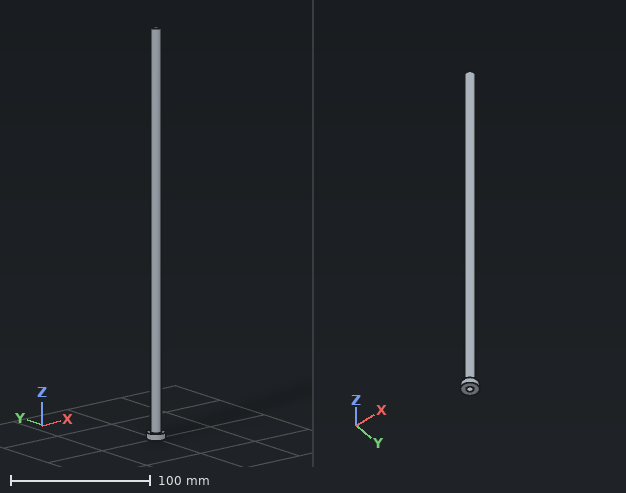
import cadquery as cq

head_diameter = 14.0
head_height = 5.0
shaft_diameter = 8.0
shaft_length = 300.0
bore_diameter = 5.2
total_length = head_height + shaft_length


def cylinder(diameter, height):
    """Upright cylinder on the Z axis, standing on Z = 0."""
    return cq.Workplane("XY").circle(diameter / 2).extrude(height)


head = cylinder(head_diameter, head_height)
shaft = cylinder(shaft_diameter, total_length)

bore = cylinder(bore_diameter, total_length)

result = head.union(shaft).cut(bore)